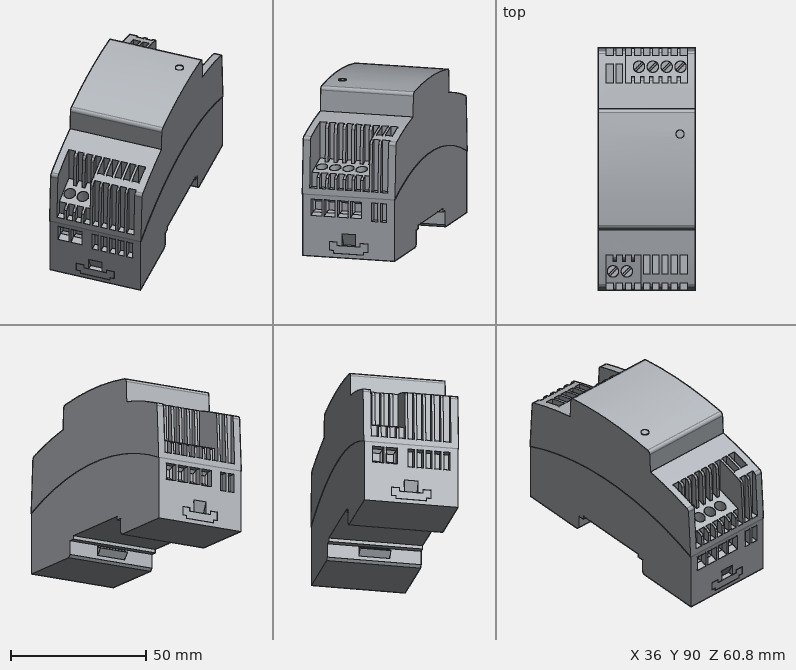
import cadquery as cq
import math

length = 90.0
half_length = length / 2
cover_width = 36.0
base_width = 35.6
height = 60.8

seam_end_z = 23.3
seam_crown_z = 32.3

shoulder_crown_z = 52.1
shoulder_radius = 129.6
shoulder_half_length = 43.7
hood_radius = 145.8
hood_foot_half_length = 22.5
hood_top_half_length = 22.05
corner_radius = 1.4

notch_half_length = 17.7
notch_z = 6.3
notch_deep_half_length = 15.3
notch_deep_z = 7.65
notch_chamfer = 1.0

slot_count = 9
opening_width = 30.2
bar_span = 23.7
bar_width = 1.0
bar_pitch = bar_span / (slot_count - 2)
end_slot_back = 42.1
end_slot_floor_z = 25.7
roof_slot_outer = 38.9
roof_slot_inner = 31.9
roof_slot_floor_z = 34.4

terminal_back_z = 34.4
terminal_front_z = 31.1
fin_radius = 1.9
fin_foot_depth = 2.5
fin_width = 1.2
comb_top_radius = 1.8
screw_offset = 12.5
screw_pitch = 5.1
screw_position = 37.9
screw_diameter = 4.2
screw_head_z = 27.9
driver_slot_width = 0.7
driver_slot_depth = 0.5
driver_slot_angle = 45

entry_width = 4.2
entry_bottom_z = 15.4
entry_top_z = 21.6
entry_depth = 2.7
funnel_bottom_z = 16.2
throat_width = 2.8
throat_bottom_z = 17.1
throat_top_z = 20.25
funnel_depth = 0.8
vent_bottom_z = 14.6
vent_top_z = 21.6
vent_width = 2.3
vent_depth = 2.9

latch_recess = 0.1
latch_bottom_z = 1.6
latch_step_z = 2.7
latch_neck_z = 4.6
latch_ear_z = 5.9
latch_half_width = 7.5
latch_foot_half_width = 5.85
latch_neck_half_width = 4.5
latch_window_width = 5.2
latch_window_top_z = 9.2
latch_window_depth = 2.2
claw_top_z = 6.1
claw_tip_z = 4.9
claw_bottom_z = 2.4
claw_reach = 2.2

indicator_x = 12.3
indicator_y = 13.0
indicator_diameter = 3.1
indicator_rise = 0.2

clearance = 4.5


def arc_z(crown_z, radius, y):
    """Height at y of an arc that crowns at mid-length."""
    return crown_z - radius + math.sqrt(radius ** 2 - y ** 2)


def block(x_min, x_max, y_min, y_max, z_min, z_max):
    size = (x_max - x_min, y_max - y_min, z_max - z_min)
    return cq.Workplane("XY").box(*size, centered=False).translate((x_min, y_min, z_min))


def slab(profile, x_min, x_max):
    """Extrude a closed YZ profile between two X positions."""
    return profile.extrude(x_max - x_min).translate((x_min, 0, 0))


def centred_slab(profile, width):
    return slab(profile, -width / 2, width / 2)


def make_base():
    profile = (
        cq.Workplane("YZ")
        .moveTo(-half_length, 0)
        .lineTo(-notch_half_length - notch_chamfer, 0)
        .lineTo(-notch_half_length, notch_chamfer)
        .lineTo(-notch_half_length, notch_z)
        .lineTo(-notch_deep_half_length, notch_z)
        .lineTo(-notch_deep_half_length, notch_deep_z)
        .lineTo(notch_deep_half_length, notch_deep_z)
        .lineTo(notch_deep_half_length, notch_z)
        .lineTo(notch_half_length, notch_z)
        .lineTo(notch_half_length, notch_chamfer)
        .lineTo(notch_half_length + notch_chamfer, 0)
        .lineTo(half_length, 0)
        .lineTo(half_length, seam_end_z)
        .threePointArc((0, seam_crown_z), (-half_length, seam_end_z))
        .close()
    )
    return centred_slab(profile, base_width)


def make_cover():
    shoulder_end = arc_z(shoulder_crown_z, shoulder_radius, shoulder_half_length)
    shoulder_mid_y = (shoulder_half_length + hood_foot_half_length) / 2
    shoulder_mid = arc_z(shoulder_crown_z, shoulder_radius, shoulder_mid_y)
    hood_foot = arc_z(shoulder_crown_z, shoulder_radius, hood_foot_half_length)
    hood_end = arc_z(height, hood_radius, hood_top_half_length)
    profile = (
        cq.Workplane("YZ")
        .moveTo(-half_length, seam_end_z)
        .lineTo(-shoulder_half_length, shoulder_end)
        .threePointArc((-shoulder_mid_y, shoulder_mid), (-hood_foot_half_length, hood_foot))
        .lineTo(-hood_top_half_length, hood_end)
        .threePointArc((0, height), (hood_top_half_length, hood_end))
        .lineTo(hood_foot_half_length, hood_foot)
        .threePointArc((shoulder_mid_y, shoulder_mid), (shoulder_half_length, shoulder_end))
        .lineTo(half_length, seam_end_z)
        .threePointArc((0, seam_crown_z), (-half_length, seam_end_z))
        .close()
    )
    cover = centred_slab(profile, cover_width)
    for y, z in ((shoulder_half_length, shoulder_end), (hood_top_half_length, hood_end)):
        for side in (-1, 1):
            corner = cq.selectors.NearestToPointSelector((0, side * y, z))
            cover = cover.edges(corner).fillet(corner_radius)
    return cover


def bar_centre(index):
    return (index - (slot_count - 2) / 2) * bar_pitch


def slot_span(index):
    """X limits of one slot; the outermost slots reach the edge of the opening."""
    left = -opening_width / 2
    right = opening_width / 2
    if index > 0:
        left = bar_centre(index - 1) + bar_width / 2
    if index < slot_count - 1:
        right = bar_centre(index) - bar_width / 2
    return left, right


def end_slots():
    cutter = cq.Workplane("XY")
    for index in range(slot_count):
        left, right = slot_span(index)
        cutter = cutter.union(
            block(left, right, -half_length - clearance, -end_slot_back, end_slot_floor_z, height)
        )
    return cutter


def roof_slots(first_slot):
    cutter = cq.Workplane("XY")
    for index in range(first_slot, slot_count):
        left, right = slot_span(index)
        cutter = cutter.union(
            block(left, right, -roof_slot_outer, -roof_slot_inner, roof_slot_floor_z, height)
        )
    return cutter


def terminal_opening(open_slots):
    """Opening above the sloping terminal top, with rounded fins left on its back wall."""
    left = slot_span(0)[0]
    right = slot_span(open_slots - 1)[1]
    slope = (terminal_back_z - terminal_front_z) / (end_slot_back - roof_slot_inner)
    comb_y = half_length - comb_top_radius
    comb_z = terminal_back_z - slope * (comb_y - roof_slot_inner)
    profile = (
        cq.Workplane("YZ")
        .moveTo(-roof_slot_inner, terminal_back_z)
        .lineTo(-comb_y, comb_z)
        .tangentArcPoint((-half_length, comb_z - comb_top_radius), relative=False)
        .lineTo(-half_length - clearance, comb_z - comb_top_radius)
        .lineTo(-half_length - clearance, height)
        .lineTo(-roof_slot_inner, height)
        .close()
    )
    cutter = slab(profile, left, right)

    fin_top_z = arc_z(shoulder_crown_z, shoulder_radius, roof_slot_inner)
    fin_front = roof_slot_inner + fin_radius
    fin_foot = roof_slot_inner + fin_foot_depth
    for index in range(open_slots - 1):
        fin_profile = (
            cq.Workplane("YZ")
            .moveTo(-roof_slot_inner, terminal_front_z)
            .lineTo(-roof_slot_inner, fin_top_z)
            .radiusArc((-fin_front, fin_top_z - fin_radius), -fin_radius)
            .lineTo(-fin_foot, terminal_front_z)
            .close()
        )
        centre = bar_centre(index)
        cutter = cutter.cut(slab(fin_profile, centre - fin_width / 2, centre + fin_width / 2))
    return cutter


def screw_hole(x):
    """Screw well with a slotted screw head at its bottom."""
    well = (
        cq.Workplane("XY", origin=(x, -screw_position, screw_head_z))
        .circle(screw_diameter / 2)
        .extrude(terminal_back_z - screw_head_z)
    )
    driver_slot = (
        cq.Workplane("XY")
        .rect(screw_diameter, driver_slot_width)
        .extrude(driver_slot_depth)
        .rotate((0, 0, 0), (0, 0, 1), driver_slot_angle)
        .intersect(cq.Workplane("XY").circle(screw_diameter / 2).extrude(driver_slot_depth))
        .translate((x, -screw_position, screw_head_z - driver_slot_depth))
    )
    return well.union(driver_slot)


def wire_entry(x):
    """Rectangular wire entry with a rising floor, narrowing to a throat."""
    funnel_y = -half_length + entry_depth
    mouth_profile = (
        cq.Workplane("YZ")
        .moveTo(-half_length, entry_bottom_z)
        .lineTo(funnel_y, funnel_bottom_z)
        .lineTo(funnel_y, entry_top_z)
        .lineTo(-half_length, entry_top_z)
        .close()
    )
    mouth = slab(mouth_profile, x - entry_width / 2, x + entry_width / 2)
    funnel_z = (funnel_bottom_z + entry_top_z) / 2
    throat_z = (throat_bottom_z + throat_top_z) / 2
    funnel = (
        cq.Workplane("XZ", origin=(x, funnel_y, funnel_z))
        .rect(entry_width, entry_top_z - funnel_bottom_z)
        .workplane(offset=-funnel_depth)
        .center(0, throat_z - funnel_z)
        .rect(throat_width, throat_top_z - throat_bottom_z)
        .loft(ruled=True)
    )
    return mouth.union(funnel)


def base_vents(first_slot):
    cutter = cq.Workplane("XY")
    for index in range(first_slot, slot_count):
        x = (index - (slot_count - 1) / 2) * bar_pitch
        cutter = cutter.union(
            block(
                x - vent_width / 2, x + vent_width / 2,
                -half_length - clearance, -half_length + vent_depth,
                vent_bottom_z, vent_top_z,
            )
        )
    return cutter


def latch():
    """Outline of the rail latch and the tool window above it."""
    outline = [
        (-latch_foot_half_width, latch_bottom_z),
        (latch_foot_half_width, latch_bottom_z),
        (latch_foot_half_width, latch_step_z),
        (latch_half_width, latch_step_z),
        (latch_half_width, latch_ear_z),
        (latch_neck_half_width, latch_ear_z),
        (latch_neck_half_width, latch_neck_z),
        (-latch_neck_half_width, latch_neck_z),
        (-latch_neck_half_width, latch_ear_z),
        (-latch_half_width, latch_ear_z),
        (-latch_half_width, latch_step_z),
        (-latch_foot_half_width, latch_step_z),
    ]
    face = (
        cq.Workplane("XZ", origin=(0, -half_length + latch_recess, 0))
        .polyline(outline)
        .close()
        .extrude(clearance)
    )
    window = (
        cq.Workplane("YZ")
        .moveTo(-half_length, latch_neck_z)
        .lineTo(-half_length + latch_window_depth, latch_neck_z)
        .lineTo(-half_length, latch_window_top_z)
        .close()
    )
    return face.union(centred_slab(window, latch_window_width))


def latch_claw():
    """Claw of the latch, reaching into the rail notch."""
    profile = (
        cq.Workplane("YZ")
        .moveTo(-notch_half_length, claw_top_z)
        .lineTo(-notch_half_length + claw_reach / 3, claw_tip_z + (claw_top_z - claw_tip_z) / 3)
        .lineTo(-notch_half_length + claw_reach, claw_tip_z)
        .lineTo(-notch_half_length, claw_bottom_z)
        .close()
    )
    return centred_slab(profile, 2 * latch_foot_half_width)


def end_cutter(terminal_count, open_slots):
    cutter = end_slots().union(roof_slots(open_slots))
    cutter = cutter.union(terminal_opening(open_slots))
    for index in range(terminal_count):
        x = -screw_offset + index * screw_pitch
        cutter = cutter.union(screw_hole(x)).union(wire_entry(x))
    return cutter.union(base_vents(open_slots)).union(latch())


def at_rear(shape):
    """Turn a feature of the -Y end round to the +Y end."""
    return shape.rotate((0, 0, 0), (0, 0, 1), 180)


def indicator():
    """Round indicator lens standing slightly proud of the hood."""
    top_z = arc_z(height, hood_radius, indicator_y) + indicator_rise
    return (
        cq.Workplane("XY", origin=(indicator_x, indicator_y, top_z))
        .circle(indicator_diameter / 2)
        .extrude(-clearance)
    )


result = make_base().union(make_cover())
result = result.cut(end_cutter(terminal_count=2, open_slots=4))
result = result.cut(at_rear(end_cutter(terminal_count=4, open_slots=7)))
result = result.union(latch_claw()).union(at_rear(latch_claw()))
result = result.union(indicator())